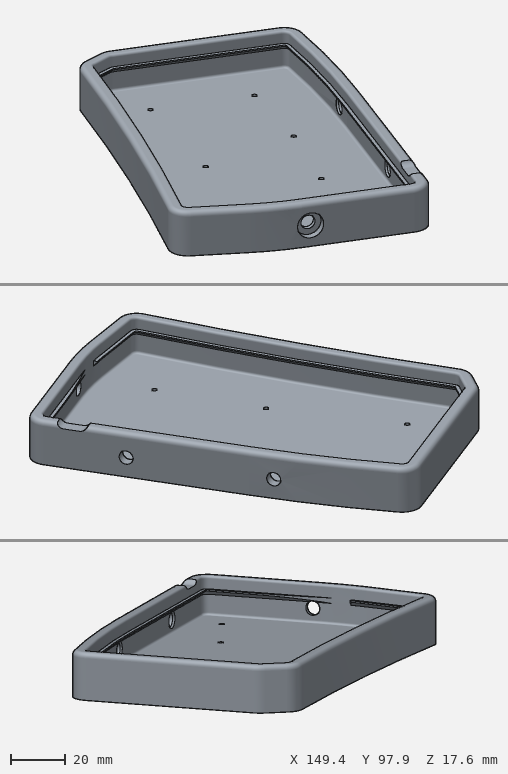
import cadquery as cq
import math

length = 149.4
width = 97.9
height = 17.6
corner_radius = 7.5
rim_outer_fillet = 2.0
rim_inner_fillet = 1.0

floor_thickness = 3.0
wall = 5.1
floor_fillet = 1.0

core_left = corner_radius
core_right = length - corner_radius
core_top = width - corner_radius
core_bottom = corner_radius
back_left_y = 86.5
back_bend_x = 62.6
side_bend_y = 47.0
side_arc_radius = 98.6
side_angle = math.radians(10.5)
front_left_corner = (12.0, 14.2)
left_low_y = 21.4
front_sagitta = 1.6

bead_width = 1.5
bead_face_height = 0.52
bead_top = 12.8
bead_fade_start_y = 71.7
bead_fade_end_y = 42.6
bead_resume_y = 35.1

floor_hole_diameter = 2.0
floor_holes = [
    (24.5, 69.5),
    (62.6, 72.2),
    (100.7, 70.4),
    (131.2, 81.0),
    (24.5, 29.5),
    (77.7, 33.3),
    (121.3, 31.7),
]

wall_hole_diameter = 5.4
countersink_diameter = 6.4
countersink_depth = 0.7
back_hole_z = 7.9
back_hole_xs = (53.2, 110.1)
side_hole_y = 50.3
side_hole_z = 8.5
side_bore_diameter = 10.0
side_web = 2.0

notch_center_x = 131.2
notch_flat_width = 6.0
notch_radius = 3.21
notch_depth = 1.8

overlap = 1.5

back_run = back_bend_x - core_left
back_rise = core_top - back_left_y
back_arc_radius = (back_run ** 2 + back_rise ** 2) / (2 * back_rise)


def drop_along_arc(radius, distance):
    """How far an arc falls from its tangent line at a distance along that line."""
    return radius - math.sqrt(radius ** 2 - distance ** 2)


def core_outline(z):
    """Closed core outline at height z, drawn clockwise from the back left corner."""
    back_mid_x = (core_left + back_bend_x) / 2
    back_mid_y = core_top - drop_along_arc(back_arc_radius, back_run / 2)

    def side_arc_point(angle):
        return (
            core_right - side_arc_radius * (1 - math.cos(angle)),
            side_bend_y - side_arc_radius * math.sin(angle),
        )

    side_end = side_arc_point(side_angle)
    front_right_x = side_end[0] - (side_end[1] - core_bottom) * math.tan(side_angle)

    left_x, left_y = front_left_corner
    chord_x = front_right_x - left_x
    chord_y = core_bottom - left_y
    chord = math.hypot(chord_x, chord_y)
    front_mid = (
        left_x + chord_x / 2 - front_sagitta * chord_y / chord,
        left_y + chord_y / 2 + front_sagitta * chord_x / chord,
    )

    return (
        cq.Workplane("XY", origin=(0, 0, z))
        .moveTo(core_left, back_left_y)
        .threePointArc((back_mid_x, back_mid_y), (back_bend_x, core_top))
        .lineTo(core_right, core_top)
        .lineTo(core_right, side_bend_y)
        .threePointArc(side_arc_point(side_angle / 2), side_end)
        .lineTo(front_right_x, core_bottom)
        .threePointArc(front_mid, front_left_corner)
        .lineTo(core_left, left_low_y)
        .close()
    )


def tray_prism(inset, bottom, top):
    """Tray outline pulled in by inset, extruded between two heights."""
    return core_outline(bottom).offset2D(corner_radius - inset, "arc").extrude(top - bottom)


def bead_gap():
    """Part of the bead ring left out along the +X wall, where the bead fades into the wall."""
    bead_x = length - wall - bead_width
    fade_run = bead_fade_start_y - bead_fade_end_y
    fade_radius = (fade_run ** 2 + bead_width ** 2) / (2 * bead_width)
    fade_mid = (
        bead_x + drop_along_arc(fade_radius, fade_run / 2),
        bead_fade_start_y - fade_run / 2,
    )
    return (
        cq.Workplane("XY")
        .moveTo(bead_x, bead_fade_start_y)
        .threePointArc(fade_mid, (length - wall, bead_fade_end_y))
        .lineTo(length - wall, bead_resume_y)
        .lineTo(bead_x - overlap, bead_resume_y)
        .lineTo(bead_x - overlap, bead_fade_start_y)
        .close()
        .extrude(height)
    )


def snap_bead():
    """Bead ring standing inward from the cavity wall."""
    face_bottom = bead_top - bead_face_height
    wall_bottom = face_bottom - bead_width
    ring = tray_prism(wall, wall_bottom, bead_top)
    opening = tray_prism(wall + bead_width, wall_bottom, bead_top)
    underside = (
        tray_prism(wall, wall_bottom - overlap, face_bottom)
        .faces(">Z").edges().chamfer(bead_width)
    )
    return ring.cut(opening).cut(underside).cut(bead_gap())


def tray():
    """Rounded shell with the snap bead on its inner wall."""
    body = tray_prism(0, 0, height).faces(">Z").edges().fillet(rim_outer_fillet)
    cavity = tray_prism(wall, floor_thickness, height).faces("<Z").edges().fillet(floor_fillet)
    shell = body.cut(cavity.cut(snap_bead()))
    inner_rim = shell.faces(">Z").val().innerWires()[0]
    return shell.newObject(inner_rim.Edges()).fillet(rim_inner_fillet)


def floor_hole_cutters():
    return (
        cq.Workplane("XY")
        .pushPoints(floor_holes)
        .circle(floor_hole_diameter / 2)
        .extrude(floor_thickness)
    )


def back_hole_cutter(x):
    """Hole through the back wall, countersunk from the cavity side."""
    wall_y = width - wall - drop_along_arc(back_arc_radius, max(0, back_bend_x - x))
    inner_face = cq.Workplane("XZ", origin=(x, wall_y, back_hole_z))
    hole = inner_face.circle(wall_hole_diameter / 2).extrude(-(wall + overlap))
    countersink = (
        inner_face.circle(countersink_diameter / 2)
        .workplane(offset=-countersink_depth)
        .circle(wall_hole_diameter / 2)
        .loft()
    )
    mouth = inner_face.circle(countersink_diameter / 2).extrude(overlap)
    return hole.union(countersink).union(mouth)


def side_hole_cutter():
    """Hole through the +X wall with a wide bore from outside that leaves a thin web."""
    inner_x = length - wall
    hole = (
        cq.Workplane("YZ", origin=(inner_x - overlap, side_hole_y, side_hole_z))
        .circle(wall_hole_diameter / 2)
        .extrude(wall + overlap)
    )
    bore = (
        cq.Workplane("YZ", origin=(inner_x + side_web, side_hole_y, side_hole_z))
        .circle(side_bore_diameter / 2)
        .extrude(wall)
    )
    return hole.union(bore)


def notch_cutter():
    """Flat-bottomed notch with round sides, run across the back wall."""
    run = wall + 2 * overlap
    center_z = height - notch_depth + notch_radius
    across = cq.Workplane("XZ", origin=(notch_center_x, width + overlap, center_z))
    return across.slot2D(notch_flat_width + 2 * notch_radius, 2 * notch_radius).extrude(run)


result = tray().cut(floor_hole_cutters())
for hole_x in back_hole_xs:
    result = result.cut(back_hole_cutter(hole_x))
result = result.cut(side_hole_cutter()).cut(notch_cutter())